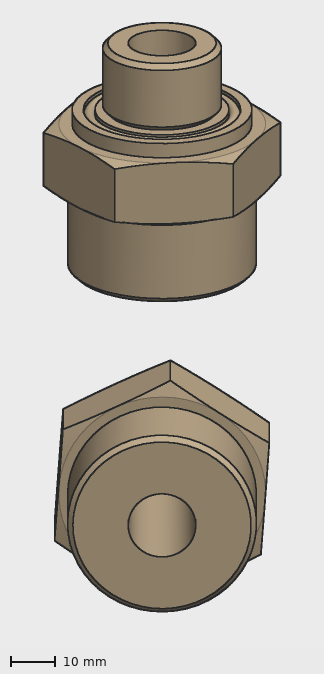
import cadquery as cq
import math

total_height = 54.0
body_height = 20.0
hex_height = 14.65
collar_height = 3.4
hex_top = body_height + hex_height
collar_top = hex_top + collar_height
stud_height = total_height - collar_top

body_diameter = 42.0
across_flats = 46.0
collar_diameter = 40.0
stud_diameter = 26.45
bore_diameter = 15.0

thread_chamfer = 1.2
hex_bevel_angle = 15.0

groove_outer_diameter = 35.0
groove_inner_diameter = 29.8
ring_recess = 0.1


def chamfered_cylinder(diameter, height, base):
    """Cylinder standing at height base, bevelled at both ends."""
    cylinder = cq.Workplane("XY").workplane(offset=base).circle(diameter / 2).extrude(height)
    return cylinder.edges().chamfer(thread_chamfer)


def bevelled_hexagon():
    """Hexagon with points along Y and its corners turned down to shallow cones."""
    corner_radius = across_flats / 2 / math.cos(math.pi / 6)
    bevel_drop = (corner_radius - across_flats / 2) * math.tan(math.radians(hex_bevel_angle))
    prism = (
        cq.Workplane("XY").workplane(offset=body_height)
        .polygon(6, 2 * corner_radius).extrude(hex_height)
        .rotate((0, 0, 0), (0, 0, 1), 30)
    )
    turned_blank = (
        cq.Workplane("XZ")
        .moveTo(0, body_height)
        .lineTo(across_flats / 2, body_height)
        .lineTo(corner_radius, body_height + bevel_drop)
        .lineTo(corner_radius, hex_top - bevel_drop)
        .lineTo(across_flats / 2, hex_top)
        .lineTo(0, hex_top)
        .close()
        .revolve(360, (0, 0, 0), (0, 1, 0))
    )
    return prism.intersect(turned_blank)


def ring_groove():
    """Annular groove whose floor is the rounded upper half of the sealing ring."""
    outer = groove_outer_diameter / 2
    inner = groove_inner_diameter / 2
    ring_radius = (outer - inner) / 2
    ring_crest = collar_top - ring_recess
    ring_center = ring_crest - ring_radius
    return (
        cq.Workplane("XZ")
        .moveTo(inner, collar_top)
        .lineTo(inner, ring_center)
        .threePointArc((inner + ring_radius, ring_crest), (outer, ring_center))
        .lineTo(outer, collar_top)
        .close()
        .revolve(360, (0, 0, 0), (0, 1, 0))
    )


body = chamfered_cylinder(body_diameter, body_height, 0)
collar = cq.Workplane("XY").workplane(offset=hex_top).circle(collar_diameter / 2).extrude(collar_height)
stud = chamfered_cylinder(stud_diameter, stud_height, collar_top)
bore = cq.Workplane("XY").circle(bore_diameter / 2).extrude(total_height)

result = body.union(bevelled_hexagon()).union(collar).union(stud).cut(bore).cut(ring_groove())